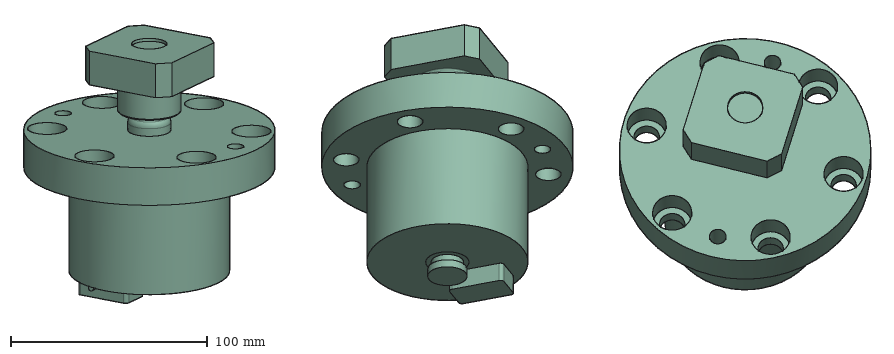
import cadquery as cq


flange_diameter = 128.0
flange_thickness = 20.0
barrel_diameter = 82.0
barrel_length = 55.0
housing_height = barrel_length + flange_thickness

bolt_circle_diameter = 104.0
bolt_count = 6
bolt_start_angle = 90
bolt_hole_diameter = 13.0
counterbore_diameter = 19.9
counterbore_depth = 13.0
dowel_count = 2
dowel_hole_diameter = 8.4

rod_diameter = 22.0
rod_exposed_length = 4.0
rod_shoulder_height = 3.1
rod_shoulder_diameter = 19.3
rod_neck_fillet_height = 1.6
rod_neck_diameter = 17.5
rod_tip_diameter = 18.0
rod_tail_diameter = 16.5
rod_tail_length = 4.0
collar_diameter = 20.0
collar_thickness = 4.0

head_gap = 10.0
hub_diameter = 32.5
hub_length = 18.0
hub_edge_chamfer = 0.8
hub_fillet = 1.0
block_side = 52.0
block_offset = 0.9
block_corner_chamfer = 6.0
tip_recess_depth = 1.6
hub_bottom = housing_height + head_gap
block_bottom = hub_bottom + hub_length

switch_length = 29.7
switch_width = 16.5
switch_height = 10.0
switch_corner_radius = 2.0
switch_center_x = -11.1
switch_center_y = -19.0
button_diameter = 3.0
button_length = 2.0
button_x = -16.6
button_drop = 4.5

overall_height = 131.0
block_top = overall_height - switch_height
block_thickness = block_top - block_bottom
rod_top = block_top - tip_recess_depth


def cylinder(diameter, bottom, height):
    """Upright cylinder on the main axis."""
    return cq.Workplane("XY").workplane(offset=bottom).circle(diameter / 2).extrude(height)


def make_housing():
    """Flange and barrel with bolt holes, dowel holes and a bore for the rod."""
    housing = cylinder(barrel_diameter, 0, barrel_length)
    housing = housing.union(cylinder(flange_diameter, barrel_length, flange_thickness))
    housing = (
        housing.faces(">Z").workplane()
        .polarArray(bolt_circle_diameter / 2, bolt_start_angle, 360, bolt_count)
        .cboreHole(bolt_hole_diameter, counterbore_diameter, counterbore_depth)
    )
    housing = (
        housing.faces(">Z").workplane()
        .polarArray(bolt_circle_diameter / 2, 0, 360, dowel_count)
        .hole(dowel_hole_diameter)
    )
    return housing.cut(cylinder(rod_diameter, 0, housing_height))


def make_rod():
    """Revolved rod: collar, tail, main shaft, rounded shoulder, thin neck and tip."""
    shoulder_bottom = housing_height + rod_exposed_length
    shoulder_top = shoulder_bottom + rod_shoulder_height
    neck_bottom = shoulder_top + rod_neck_fillet_height
    rod_radius = rod_diameter / 2
    neck_radius = rod_neck_diameter / 2
    shoulder_radius = rod_shoulder_diameter / 2
    neck_step = shoulder_radius - neck_radius
    neck_fillet_radius = (rod_neck_fillet_height**2 + neck_step**2) / (2 * neck_step)
    return (
        cq.Workplane("XZ")
        .moveTo(0, -rod_tail_length - collar_thickness)
        .lineTo(collar_diameter / 2, -rod_tail_length - collar_thickness)
        .lineTo(collar_diameter / 2, -rod_tail_length)
        .lineTo(rod_tail_diameter / 2, -rod_tail_length)
        .lineTo(rod_tail_diameter / 2, 0)
        .lineTo(rod_radius, 0)
        .lineTo(rod_radius, shoulder_bottom)
        .tangentArcPoint((shoulder_radius, shoulder_top), relative=False)
        .radiusArc((neck_radius, neck_bottom), neck_fillet_radius)
        .lineTo(neck_radius, hub_bottom)
        .lineTo(rod_tip_diameter / 2, hub_bottom)
        .lineTo(rod_tip_diameter / 2, rod_top)
        .lineTo(0, rod_top)
        .close()
        .revolve(360, (0, 0), (0, 1))
    )


def make_head():
    """Block with cut corners and a hub, bored through for the rod tip."""
    block = (
        cq.Workplane("XY").workplane(offset=block_bottom)
        .center(block_offset, -block_offset)
        .rect(block_side, block_side).extrude(block_thickness)
        .edges("|Z").chamfer(block_corner_chamfer)
    )
    hub = cylinder(hub_diameter, hub_bottom, hub_length).faces("<Z").chamfer(hub_edge_chamfer)
    head = block.union(hub)
    widest_circles = cq.selectors.RadiusNthSelector(-1)
    head = head.edges("%CIRCLE").edges(widest_circles).edges(">Z").fillet(hub_fillet)
    return head.cut(cylinder(rod_tip_diameter, hub_bottom, hub_length + block_thickness))


def make_switch():
    """Box with rounded upright edges and a round button on its -Y side."""
    box = (
        cq.Workplane("XY").workplane(offset=-switch_height)
        .center(switch_center_x, switch_center_y)
        .rect(switch_length, switch_width).extrude(switch_height)
        .edges("|Z").fillet(switch_corner_radius)
    )
    front_y = switch_center_y - switch_width / 2
    button = (
        cq.Workplane("XZ", origin=(button_x, front_y, -button_drop))
        .circle(button_diameter / 2).extrude(button_length)
    )
    return box.union(button)


housing = make_housing()
rod = make_rod()
head = make_head()
switch = make_switch()

result = cq.Compound.makeCompound([housing.val(), rod.val(), head.val(), switch.val()])